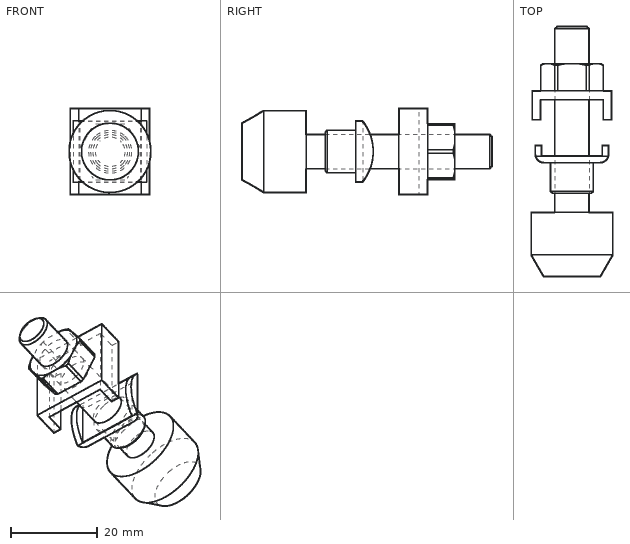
import cadquery as cq
import math


total_length = 58.0
stud_diameter = 8.0
stud_chamfer = 0.6
cap_diameter = 19.0
cap_height = 14.9
cap_taper_height = 5.05
cap_taper_angle = 30.0

collar_start = 19.3
collar_diameter = 10.0
collar_height = 7.1
collar_chamfer = 0.45
saddle_width = 17.05
saddle_length = 14.2
saddle_plate = 1.6
saddle_lip = 1.5
saddle_height = 4.05
saddle_shoulder = 1.55
saddle_bend_radius = 2.05

channel_width = 18.45
channel_length = 20.0
channel_height = 6.65
channel_plate = 2.1
channel_leg = 2.0

nut_height = 6.3
nut_across_flats = 13.0
nut_corner_diameter = 14.55
nut_top_diameter = 13.35
nut_chamfer_angle = 30.0

saddle_start = collar_start + collar_height
channel_end = 43.05
channel_start = channel_end - channel_height
nut_end = channel_end + nut_height


def rod(diameter, start, end):
    """Cylinder on the Y axis between two Y positions."""
    direction = cq.Vector(0, 1, 0)
    solid = cq.Solid.makeCylinder(diameter / 2, end - start, cq.Vector(0, start, 0), direction)
    return cq.Workplane(obj=solid)


def revolve_about_y(profile):
    """Turn a closed (radius, Y) profile about the Y axis."""
    return cq.Workplane("XY").polyline(profile).close().revolve(360, (0, 0, 0), (0, 1, 0))


def extrude_along_z(profile, length):
    """Extrude a closed (X, Y) profile centred on Z = 0."""
    return cq.Workplane("XY").polyline(profile).close().extrude(length / 2, both=True)


def u_profile(width, leg, base, plate_face, open_end):
    """U outline with its plate between base and plate_face and its legs reaching open_end."""
    outer = width / 2
    inner = outer - leg
    return [
        (-outer, base), (outer, base), (outer, open_end), (inner, open_end),
        (inner, plate_face), (-inner, plate_face), (-inner, open_end), (-outer, open_end),
    ]


def make_capped_stud():
    stud_radius = stud_diameter / 2
    cap_radius = cap_diameter / 2
    tip_radius = cap_radius - cap_taper_height * math.tan(math.radians(cap_taper_angle))
    return revolve_about_y([
        (0, 0),
        (tip_radius, 0),
        (cap_radius, cap_taper_height),
        (cap_radius, cap_height),
        (stud_radius, cap_height),
        (stud_radius, total_length - stud_chamfer),
        (stud_radius - stud_chamfer, total_length),
        (0, total_length),
    ])


def make_saddle_washer():
    saddle_end = saddle_start + saddle_height
    plate_face = saddle_start + saddle_plate
    shoulder = saddle_start + saddle_shoulder
    half_length = saddle_length / 2

    strip = extrude_along_z(
        u_profile(saddle_width, saddle_lip, saddle_start, plate_face, saddle_end), saddle_length
    )
    strip = strip.faces("<Y").edges("|Z").fillet(saddle_bend_radius)

    arched_outline = (
        cq.Workplane("YZ")
        .moveTo(saddle_start, -half_length)
        .lineTo(shoulder, -half_length)
        .threePointArc((saddle_end, 0), (shoulder, half_length))
        .lineTo(saddle_start, half_length)
        .close()
        .extrude(saddle_width / 2, both=True)
    )
    collar = rod(collar_diameter, collar_start, saddle_start).faces("<Y").chamfer(collar_chamfer)
    bore = rod(stud_diameter, collar_start, saddle_end)
    return strip.intersect(arched_outline).union(collar).cut(bore)


def make_channel_washer():
    plate_face = channel_end - channel_plate
    channel = extrude_along_z(
        u_profile(channel_width, channel_leg, channel_end, plate_face, channel_start), channel_length
    )
    return channel.cut(rod(stud_diameter, channel_start, channel_end))


def make_nut():
    hexagon_diameter = nut_across_flats / math.cos(math.radians(30))
    hexagon = cq.Workplane("XZ", origin=(0, nut_end, 0)).polygon(6, hexagon_diameter).extrude(nut_height)

    corner_radius = nut_corner_diameter / 2
    top_radius = nut_top_diameter / 2
    chamfer_drop = (corner_radius - top_radius) * math.tan(math.radians(nut_chamfer_angle))
    envelope = revolve_about_y([
        (0, channel_end),
        (corner_radius, channel_end),
        (corner_radius, nut_end - chamfer_drop),
        (top_radius, nut_end),
        (0, nut_end),
    ])
    return hexagon.intersect(envelope).cut(rod(stud_diameter, channel_end, nut_end))


capped_stud = make_capped_stud()
saddle_washer = make_saddle_washer()
channel_washer = make_channel_washer()
nut = make_nut()

result = cq.Compound.makeCompound([
    capped_stud.val(),
    saddle_washer.solids().val(),
    channel_washer.solids().val(),
    nut.solids().val(),
])